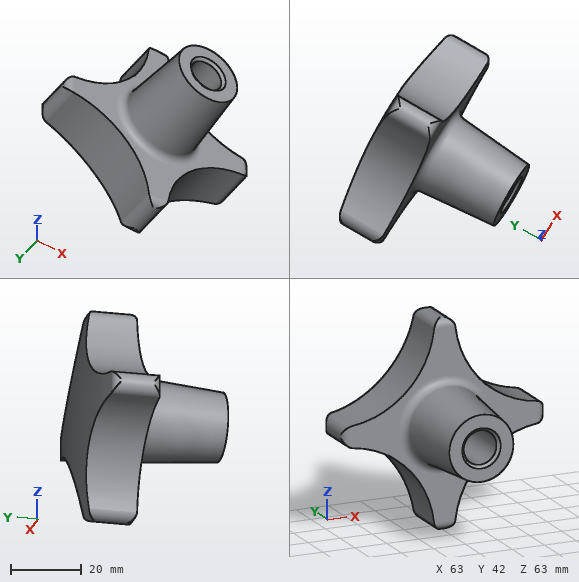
import math

import cadquery as cq


tip_radius = 31.5
head_height = 17.0
dome_radius = 150.0
rim_rounding = 2.5
rim_start = tip_radius - rim_rounding

arm_count = 4
arm_half_width = 3.3
waist_radius = 16.4

hub_length = 25.0
hub_end_radius = 10.0
hub_taper = math.radians(5)
hub_fillet = 2.5

bore_radius = 5.1
bore_chamfer = 0.9
bore_depth = 26.0
drill_half_angle = math.radians(59)


def revolve_about_y(profile):
    """Turn a closed profile drawn in the XY plane around the Y axis."""
    return profile.revolve(360, (0, 0, 0), (0, 1, 0))


def make_head_envelope():
    """Domed disc with rounded upper and lower rims."""
    dome_centre_y = head_height - dome_radius
    rim_angle = math.asin(rim_start / (dome_radius - rim_rounding))
    rim_top = dome_centre_y + (dome_radius - rim_rounding) * math.cos(rim_angle)

    def dome_point(angle):
        return dome_radius * math.sin(angle), dome_centre_y + dome_radius * math.cos(angle)

    profile = (
        cq.Workplane("XY")
        .lineTo(rim_start, 0)
        .radiusArc((tip_radius, rim_rounding), -rim_rounding)
        .lineTo(tip_radius, rim_top)
        .radiusArc(dome_point(rim_angle), -rim_rounding)
        .threePointArc(dome_point(rim_angle / 2), (0, head_height))
        .close()
    )
    return revolve_about_y(profile)


def make_arm_prism():
    """Star-shaped prism: rounded arm ends joined by concave scallops."""

    def place(along, across, arm_index):
        angle = 2 * math.pi * arm_index / arm_count
        x = along * math.cos(angle) - across * math.sin(angle)
        z = along * math.sin(angle) + across * math.cos(angle)
        return x, z

    half_pitch = math.pi / arm_count
    waist_along = waist_radius * math.cos(half_pitch)
    waist_across = waist_radius * math.sin(half_pitch)

    outline = cq.Workplane("XZ").moveTo(*place(rim_start, -arm_half_width, 0))
    for arm in range(arm_count):
        outline = outline.threePointArc(
            place(tip_radius, 0, arm),
            place(rim_start, arm_half_width, arm),
        )
        outline = outline.threePointArc(
            place(waist_along, waist_across, arm),
            place(rim_start, -arm_half_width, arm + 1),
        )
    return outline.close().extrude(-head_height)


def make_hub():
    """Tapered hub with a concave fillet running out onto the head underside."""
    neck_y = -hub_fillet * (1 - math.sin(hub_taper))
    neck_radius = hub_end_radius + (hub_length + neck_y) * math.tan(hub_taper)
    flare_radius = neck_radius + hub_fillet * math.cos(hub_taper)

    profile = (
        cq.Workplane("XY")
        .moveTo(0, -hub_length)
        .lineTo(hub_end_radius, -hub_length)
        .lineTo(neck_radius, neck_y)
        .radiusArc((flare_radius, 0), hub_fillet)
        .lineTo(0, 0)
        .close()
    )
    return revolve_about_y(profile)


def make_bore():
    """Drilled blind hole with a conical bottom and a 45 degree entry chamfer."""
    bore_end = bore_depth - hub_length
    cone_tip = bore_end + bore_radius / math.tan(drill_half_angle)

    profile = (
        cq.Workplane("XY")
        .moveTo(0, -hub_length)
        .lineTo(bore_radius + bore_chamfer, -hub_length)
        .lineTo(bore_radius, bore_chamfer - hub_length)
        .lineTo(bore_radius, bore_end)
        .lineTo(0, cone_tip)
        .close()
    )
    return revolve_about_y(profile)


head = make_arm_prism().intersect(make_head_envelope())
result = head.union(make_hub()).cut(make_bore())